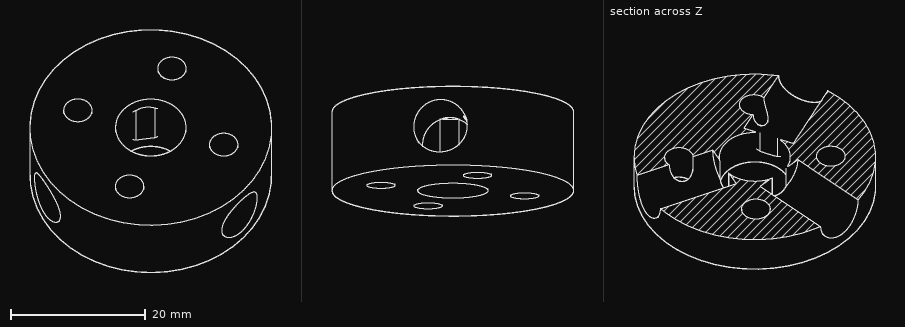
import cadquery as cq

disc_diameter = 36.0
disc_height = disc_diameter / 3
bore_diameter = 10.48

axial_hole_diameter = 4.2
axial_hole_spacing = 16.0

radial_pocket_diameter = 8.0
pocket_floor_radius = 5.05
side_pocket_angle = 20
radial_pocket_angles = (-90, side_pocket_angle, 180 - side_pocket_angle)


def make_disc():
    """Disc centred on the origin, with its bore and axial holes along Z."""
    return (
        cq.Workplane("XY")
        .circle(disc_diameter / 2)
        .circle(bore_diameter / 2)
        .extrude(disc_height / 2, both=True)
        .faces(">Z")
        .workplane(origin=(0, 0, 0))
        .rect(axial_hole_spacing, axial_hole_spacing, forConstruction=True)
        .vertices()
        .hole(axial_hole_diameter)
    )


def make_radial_pocket(angle):
    """Cylinder running outward from the pocket floor past the rim."""
    return (
        cq.Workplane("YZ")
        .workplane(offset=pocket_floor_radius)
        .circle(radial_pocket_diameter / 2)
        .extrude(disc_diameter / 2)
        .rotate((0, 0, 0), (0, 0, 1), angle)
    )


result = make_disc()
for pocket_angle in radial_pocket_angles:
    result = result.cut(make_radial_pocket(pocket_angle))